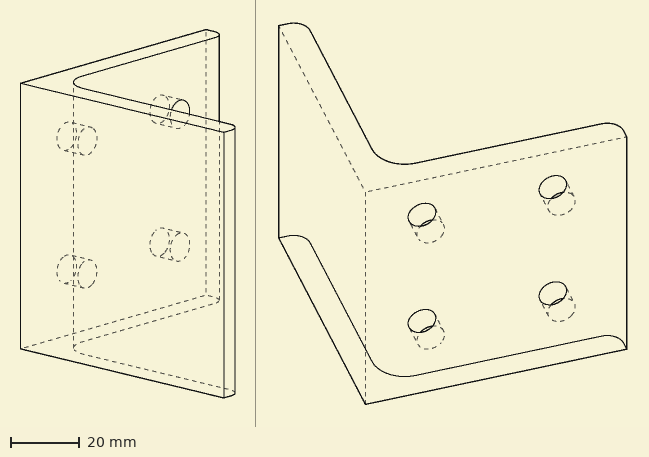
import cadquery as cq

leg_length = 80.0
height = 80.0
thickness = 8.0
root_radius = 10.0
toe_radius = 5.0

hole_diameter = 8.4
hole_spacing = leg_length / 2


def angle_bar():
    """L-shaped bar with a rounded inner corner and rounded inner toe edges."""
    bar = (
        cq.Workplane("XY")
        .moveTo(0, 0)
        .lineTo(leg_length, 0)
        .lineTo(leg_length, thickness)
        .lineTo(thickness, thickness)
        .lineTo(thickness, leg_length)
        .lineTo(0, leg_length)
        .close()
        .extrude(height)
    )
    mid_height = height / 2
    inner_corner = cq.selectors.NearestToPointSelector((thickness, thickness, mid_height))
    x_toe = cq.selectors.NearestToPointSelector((leg_length, thickness, mid_height))
    y_toe = cq.selectors.NearestToPointSelector((thickness, leg_length, mid_height))
    bar = bar.edges(x_toe).fillet(toe_radius)
    bar = bar.edges(y_toe).fillet(toe_radius)
    return bar.edges(inner_corner).fillet(root_radius)


def bolt_holes():
    """Cylinders along X that pass through the drilled leg and clear its root fillet."""
    return (
        cq.Workplane("YZ", origin=(0, leg_length / 2, height / 2))
        .rarray(hole_spacing, hole_spacing, 2, 2)
        .circle(hole_diameter / 2)
        .extrude(thickness + root_radius)
    )


result = angle_bar().cut(bolt_holes())